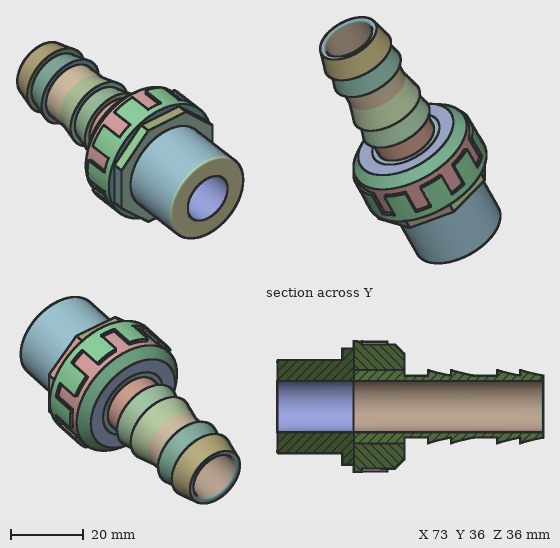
import cadquery as cq
import math

TOTAL_LENGTH = 73.0
OUTER_DIAMETER = 36.0

BORE_RADIUS = 7.0
BORE_LIP_RADIUS = 0.6
TUBE_RADIUS = 8.55
BARB_RADIUS = 10.1
BARB_SLOTS = (0, 1, 3, 4)
TAIL_SECTIONS = 6
COLLAR_RADIUS = 10.15

NUT_FRONT = 38.0
NUT_LENGTH = 14.0
NUT_RADIUS = OUTER_DIAMETER / 2
GRIP_DEPTH = 0.9
GRIP_START = 4.75
NUT_CHAMFER = 2.8
NOTCH_COUNT = 10
NOTCH_WIDTH = 4.5
NOTCH_LENGTH = 6.9

OCTAGON_SIDES = 8
OCTAGON_FLATS = 32.0
OCTAGON_LENGTH = 3.15
SPIGOT_RADIUS = 12.85
SPIGOT_EDGE_RADIUS = 0.6

BARB_LENGTH = NUT_FRONT / TAIL_SECTIONS
NUT_BACK = NUT_FRONT + NUT_LENGTH
NUT_BODY_RADIUS = NUT_RADIUS - GRIP_DEPTH


def cylinder(start, length, radius):
    """Solid cylinder along X."""
    return cq.Workplane("YZ", origin=(start, 0, 0)).circle(radius).extrude(length)


def make_barb(start):
    """Conical barb that widens from the tube to a sharp edge."""
    end = start + BARB_LENGTH
    return (
        cq.Workplane("XY")
        .polyline([(start, 0), (start, TUBE_RADIUS), (end, BARB_RADIUS), (end, 0)])
        .close()
        .revolve(360, (0, 0, 0), (1, 0, 0))
    )


def make_hose_tail():
    """Barbed tube with a collar that fills the nut and a rounded mouth to its bore."""
    tail = cylinder(0, NUT_FRONT, TUBE_RADIUS)
    for slot in BARB_SLOTS:
        tail = tail.union(make_barb(slot * BARB_LENGTH))
    tail = tail.union(cylinder(NUT_FRONT, NUT_LENGTH, COLLAR_RADIUS))
    tail = tail.cut(cylinder(0, NUT_BACK, BORE_RADIUS))
    bore_rim = cq.selectors.RadiusNthSelector(0)
    return tail.faces("<X").edges(bore_rim).fillet(BORE_LIP_RADIUS)


def make_nut():
    """Ring nut with a chamfered front and a raised grip band notched all round."""
    nut = cylinder(NUT_FRONT, NUT_LENGTH, NUT_BODY_RADIUS).faces("<X").chamfer(NUT_CHAMFER)

    grip_front = NUT_FRONT + GRIP_START
    grip = cylinder(grip_front, NUT_LENGTH - GRIP_START, NUT_RADIUS)
    for index in range(NOTCH_COUNT):
        notch = (
            cq.Workplane("XY")
            .box(NOTCH_LENGTH, NOTCH_WIDTH, NUT_RADIUS, centered=(False, True, False))
            .translate((grip_front, 0, 0))
            .rotate((0, 0, 0), (1, 0, 0), index * 360 / NOTCH_COUNT)
        )
        grip = grip.cut(notch)

    return nut.union(grip).cut(cylinder(NUT_FRONT, NUT_LENGTH, COLLAR_RADIUS))


def make_spigot_adaptor():
    """Spigot with a rounded end behind an octagonal flange, bored through."""
    spigot = cylinder(NUT_BACK, TOTAL_LENGTH - NUT_BACK, SPIGOT_RADIUS)
    spigot = spigot.faces(">X").edges().fillet(SPIGOT_EDGE_RADIUS)

    corner_diameter = OCTAGON_FLATS / math.cos(math.pi / OCTAGON_SIDES)
    octagon = (
        cq.Workplane("YZ", origin=(NUT_BACK, 0, 0))
        .polygon(OCTAGON_SIDES, corner_diameter)
        .extrude(OCTAGON_LENGTH)
        .rotate((0, 0, 0), (1, 0, 0), 180 / OCTAGON_SIDES)
    )
    return spigot.union(octagon).cut(cylinder(NUT_BACK, TOTAL_LENGTH - NUT_BACK, BORE_RADIUS))


hose_tail = make_hose_tail()
nut = make_nut()
spigot_adaptor = make_spigot_adaptor()

result = cq.Compound.makeCompound([body.solids().val() for body in (hose_tail, nut, spigot_adaptor)])